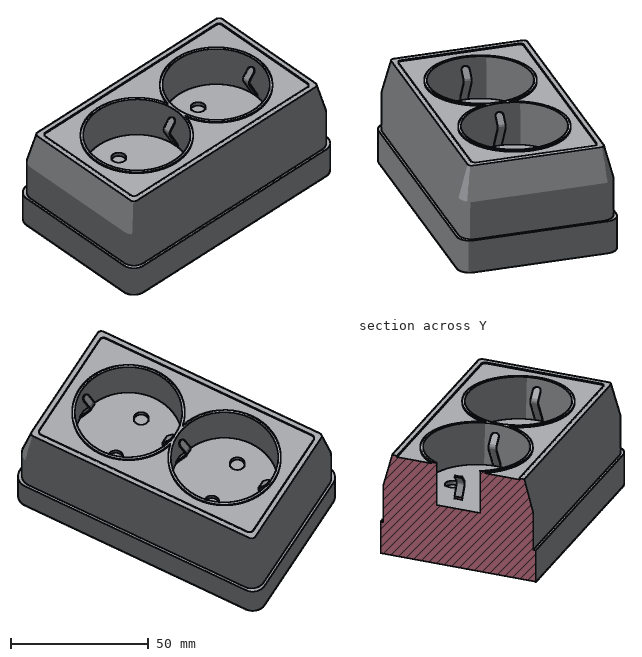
import cadquery as cq
import math

base_x = 61.0
base_y = 102.0
ledge = 1.0
body_x = base_x - 2 * ledge
body_y = base_y - 2 * ledge
corner_radius = 5.0
base_height = 13.0
body_height = 15.1
crown_height = 13.0
crown_taper = 15.0
top_z = base_height + body_height + crown_height
crown_inset = crown_height * math.tan(math.radians(crown_taper))

border = 2.0
recess_depth = 0.5
recess_radius = 1.5
recess_x = body_x - 2 * (crown_inset + border)
recess_y = body_y - 2 * (crown_inset + border)

socket_pitch = 40.0
socket_diameter = 39.0
socket_radius = socket_diameter / 2
collar_width = 1.0
socket_depth = 17.0
socket_floor_z = top_z - socket_depth
pin_diameter = 5.5
pin_pitch = 19.0
pin_depth = 1.6

clip_width = 3.1
clip_thickness = 0.5
clip_bend_radius = 2.2
clip_tip_gap = 1.2
clip_tip_drop = 2.8
clip_bend_reach = 5.0
clip_bend_drop = 7.3

socket_centers = [(0, -socket_pitch / 2), (0, socket_pitch / 2)]


def make_housing():
    base = cq.Workplane("XY").box(base_x, base_y, base_height, centered=(True, True, False))
    base = base.edges("|Z").fillet(corner_radius)
    body = (
        cq.Workplane("XY")
        .workplane(offset=base_height)
        .box(body_x, body_y, body_height, centered=(True, True, False))
        .edges("|Z")
        .fillet(corner_radius)
    )
    crown = body.faces(">Z").wires().toPending().extrude(crown_height, taper=crown_taper, combine=False)
    return base.union(body).union(crown)


def make_recess():
    recess = cq.Workplane("XY").workplane(offset=top_z - recess_depth)
    recess = recess.rect(recess_x, recess_y).extrude(recess_depth)
    return recess.edges("|Z").fillet(recess_radius)


def make_collar_blank():
    """Solid disc that becomes the collar around one socket, flush with the border."""
    disc_floor = cq.Workplane("XY").workplane(offset=socket_floor_z)
    return disc_floor.circle(socket_radius + collar_width).extrude(socket_depth)


def make_socket_cut():
    """Cavity of one socket centred on the Z axis, with its two pin holes."""
    floor = cq.Workplane("XY").workplane(offset=socket_floor_z)
    cavity = floor.circle(socket_radius).extrude(socket_depth)
    pins = (
        floor.pushPoints([(-pin_pitch / 2, 0), (pin_pitch / 2, 0)])
        .circle(pin_diameter / 2)
        .extrude(-pin_depth)
    )
    return cavity.union(pins)


def round_bend(strip, corner, radius):
    """Fillet the crosswise edge of the strip that runs through the corner."""
    edge = strip.edges("|X").edges(cq.selectors.NearestToPointSelector(corner.toTuple()))
    return edge.fillet(radius)


def make_clip():
    """Clip on the +Y wall of a socket centred on the Z axis."""
    tip = cq.Vector(0, socket_radius - clip_tip_gap, top_z - clip_tip_drop)
    bend = cq.Vector(0, socket_radius - clip_bend_reach, top_z - clip_bend_drop)
    foot = cq.Vector(0, socket_radius, socket_floor_z)
    upper_leg = tip - bend
    lower_leg = foot - bend

    upper_direction = upper_leg.normalized()
    lower_direction = lower_leg.normalized()
    half_angle = upper_direction.getAngle(lower_direction) / 2
    bisector = (upper_direction + lower_direction).normalized()
    bend_back = bend + bisector * (clip_thickness / math.sin(half_angle))
    tip_back = tip + cq.Vector(0, upper_direction.z, -upper_direction.y) * clip_thickness
    foot_back = foot + cq.Vector(0, -lower_direction.z, lower_direction.y) * clip_thickness

    corners = [tip, bend, foot, foot_back, bend_back, tip_back]
    strip = (
        cq.Workplane("YZ")
        .polyline([(corner.y, corner.z) for corner in corners])
        .close()
        .extrude(clip_width / 2, both=True)
    )
    strip = round_bend(strip, bend, clip_bend_radius)
    strip = round_bend(strip, bend_back, clip_bend_radius - clip_thickness)

    end_plane = cq.Plane(origin=tip.toTuple(), xDir=(1, 0, 0), normal=(tip_back - tip).toTuple())
    half_width = clip_width / 2
    square_end = cq.Workplane(end_plane).rect(2 * clip_width, clip_width).extrude(clip_thickness)
    round_end = cq.Workplane(end_plane).center(0, half_width).circle(half_width).extrude(clip_thickness)
    return strip.cut(square_end).union(round_end)


housing = make_housing().cut(make_recess())
socket_cut = make_socket_cut()
clip = make_clip()
opposite_clip = clip.mirror("XZ")

for center_x, center_y in socket_centers:
    housing = housing.union(make_collar_blank().translate((center_x, center_y, 0)))

for center_x, center_y in socket_centers:
    shift = (center_x, center_y, 0)
    housing = housing.cut(socket_cut.translate(shift))
    housing = housing.union(clip.translate(shift)).union(opposite_clip.translate(shift))

result = housing